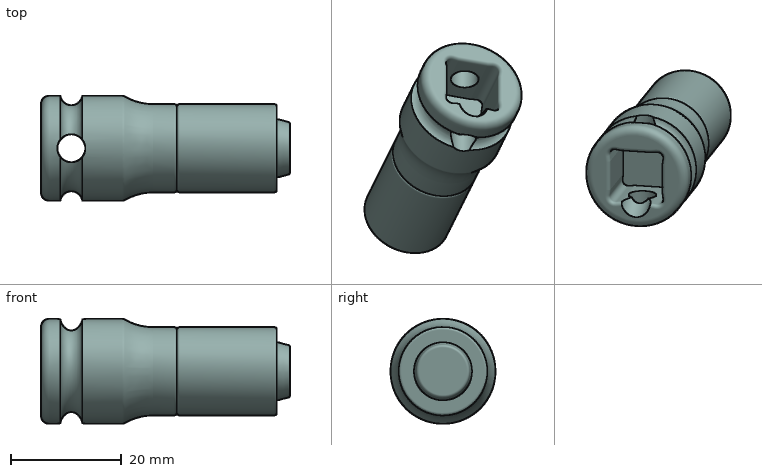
import cadquery as cq
import math

length = 45.0

head_radius = 9.5
rim_fillet = 1.5

groove_x = 5.5
groove_depth = 1.7
groove_radius = 2.0
pin_hole_diameter = 5.0

barrel_radius = 8.0
neck_arc_radius = 10.0
neck_end_x = 20.2
neck_blend = 0.75

sleeve_start_x = 24.55
sleeve_end_x = 42.6
barrel_edge_fillet = 0.5

stem_radius = 5.25
taper_start_x = 42.9
taper_angle = 15.0
nose_fillet = 0.5

drive_half_width = 4.8
drive_depth = 11.0
drive_flat_half = 2.7
corner_center = 3.9
corner_radius = 1.05
mouth_fillet = 0.7

ramp_radius = 2.75
ramp_angle = 30.0
ramp_bottom_at_face = 7.4


def housing_blank():
    """Turned body: head, neck, barrel and stem with tapered nose."""
    neck_center_r = barrel_radius + neck_arc_radius
    neck_corner_x = neck_end_x - math.sqrt(neck_arc_radius**2 - (neck_center_r - head_radius) ** 2)
    half_sweep = math.asin((neck_end_x - neck_corner_x) / neck_arc_radius) / 2
    neck_mid = (
        neck_end_x - neck_arc_radius * math.sin(half_sweep),
        neck_center_r - neck_arc_radius * math.cos(half_sweep),
    )
    nose_radius = stem_radius - (length - taper_start_x) * math.tan(math.radians(taper_angle))
    profile = (
        cq.Workplane("XY")
        .lineTo(0, head_radius)
        .lineTo(neck_corner_x, head_radius)
        .threePointArc(neck_mid, (neck_end_x, barrel_radius))
        .lineTo(sleeve_start_x, barrel_radius)
        .lineTo(sleeve_start_x, stem_radius)
        .lineTo(taper_start_x, stem_radius)
        .lineTo(length, nose_radius)
        .lineTo(length, 0)
        .close()
    )
    blank = profile.revolve(360, (0, 0, 0), (1, 0, 0))
    blank = fillet_circle(blank, 0, head_radius, rim_fillet)
    blank = fillet_circle(blank, neck_corner_x, head_radius, neck_blend)
    blank = fillet_circle(blank, sleeve_start_x, barrel_radius, barrel_edge_fillet)
    return fillet_circle(blank, length, nose_radius, nose_fillet)


def edges_in_plane(body, x, reach):
    """Edges that lie in the plane at x, no farther than reach from the axis along Y or Z."""
    margin = 0.05
    limit = reach + margin
    slab = cq.selectors.BoxSelector((x - margin, -limit, -limit), (x + margin, limit, limit), boundingbox=True)
    return body.edges(slab)


def fillet_circle(body, x, radius, fillet):
    """Round the circular edge of the given radius that lies around the X axis at x."""
    outer_edge = edges_in_plane(body, x, radius).edges(cq.selectors.RadiusNthSelector(-1))
    return outer_edge.fillet(fillet)


def ring_groove():
    """Torus that cuts the round-bottomed groove around the head."""
    center_r = head_radius - groove_depth + groove_radius
    section = cq.Workplane("XY").center(groove_x, center_r).circle(groove_radius)
    return section.revolve(360, (0, -center_r, 0), (1, -center_r, 0))


def pin_hole():
    """Cylinder along Z through the middle of the groove."""
    hole = cq.Workplane("XY").center(groove_x, 0).circle(pin_hole_diameter / 2)
    return hole.extrude(head_radius, both=True)


def drive_socket():
    """Square prism along X; the four sides and corners repeat by quarter turns."""
    inset = drive_half_width - corner_center
    rise = corner_center - drive_flat_half
    slope = math.asin(corner_radius / math.hypot(inset, rise)) - math.atan2(inset, rise)
    arc_far = corner_center + corner_radius * math.cos(slope)
    arc_near = corner_center - corner_radius * math.sin(slope)
    corner_mid = corner_center + corner_radius * math.sqrt(0.5)
    sketch = cq.Workplane("YZ").moveTo(drive_half_width, -drive_flat_half)
    for quarter in range(4):
        turn = math.radians(90 * quarter)

        def turned(a, b):
            return (a * math.cos(turn) - b * math.sin(turn), a * math.sin(turn) + b * math.cos(turn))

        sketch = (
            sketch.lineTo(*turned(drive_half_width, drive_flat_half))
            .lineTo(*turned(arc_far, arc_near))
            .threePointArc(turned(corner_mid, corner_mid), turned(arc_near, arc_far))
        )
        if quarter < 3:
            sketch = sketch.lineTo(*turned(drive_flat_half, drive_half_width))
    return sketch.close().extrude(drive_depth)


def access_ramp():
    """Tilted cylinder whose lowest line rises from the face into the socket."""
    tilt = math.radians(ramp_angle)
    axis_z = -ramp_bottom_at_face + ramp_radius / math.cos(tilt)
    direction = cq.Vector(math.cos(tilt), 0, math.sin(tilt))
    lead_in = 5.0
    start = cq.Vector(0, 0, axis_z) - direction * lead_in
    ramp_length = lead_in + groove_x
    return cq.Workplane(cq.Solid.makeCylinder(ramp_radius, ramp_length, start, direction))


def make_housing():
    """Turned body with the groove, drive socket, pin hole and access ramp cut from it."""
    body = housing_blank().cut(ring_groove()).cut(drive_socket())
    mouth_reach = corner_center + corner_radius
    body = edges_in_plane(body, 0, mouth_reach).fillet(mouth_fillet)
    return body.cut(pin_hole()).cut(access_ramp())


def make_sleeve():
    """Plain sleeve around the stem, rounded at both outer ends."""
    sleeve_length = sleeve_end_x - sleeve_start_x
    start_plane = cq.Workplane("YZ", origin=(sleeve_start_x, 0, 0))
    tube = start_plane.circle(barrel_radius).extrude(sleeve_length)
    tube = tube.edges("%CIRCLE").fillet(barrel_edge_fillet)
    bore = start_plane.circle(stem_radius).extrude(sleeve_length)
    return tube.cut(bore)


housing = make_housing()
sleeve = make_sleeve()
result = cq.Compound.makeCompound([housing.val(), sleeve.val()])